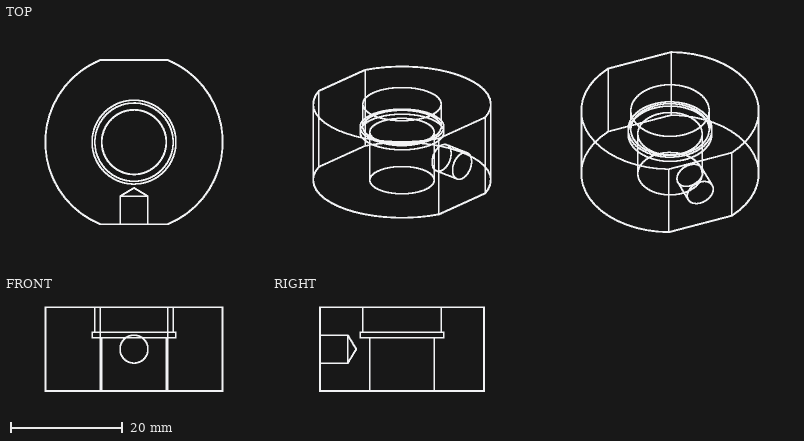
import cadquery as cq
import math

BODY_DIAMETER = 31.75
BODY_HEIGHT = 15.0
ACROSS_FLATS = 29.35

BORE_DIAMETER = 11.5
COUNTERBORE_DIAMETER = 14.0
COUNTERBORE_DEPTH = 5.5

RELIEF_DIAMETER = 15.0
RELIEF_WIDTH = 1.0

SIDE_HOLE_DIAMETER = 5.0
SIDE_HOLE_DEPTH = 5.0
DRILL_POINT_ANGLE = 118.0


def make_body():
    """Disc with two parallel flats facing -Y and +Y."""
    disc = cq.Workplane("XY").circle(BODY_DIAMETER / 2).extrude(BODY_HEIGHT)
    between_flats = cq.Workplane("XY").box(
        BODY_DIAMETER, ACROSS_FLATS, BODY_HEIGHT, centered=(True, True, False)
    )
    return disc.intersect(between_flats)


def cut_stepped_bore(body):
    """Through bore with a wider counterbore at the top."""
    return body.faces(">Z").workplane().cboreHole(
        BORE_DIAMETER, COUNTERBORE_DIAMETER, COUNTERBORE_DEPTH
    )


def cut_relief_groove(body):
    """Undercut widening the lowest part of the counterbore, flush with its floor."""
    groove = (
        cq.Workplane("XY")
        .workplane(offset=BODY_HEIGHT - COUNTERBORE_DEPTH)
        .circle(RELIEF_DIAMETER / 2)
        .extrude(RELIEF_WIDTH)
    )
    return body.cut(groove)


def make_drill_shape():
    """Drilled-hole volume running in +Y from the -Y flat, with a conical end."""
    radius = SIDE_HOLE_DIAMETER / 2
    point_length = radius / math.tan(math.radians(DRILL_POINT_ANGLE / 2))
    half_section = (
        cq.Workplane("XY")
        .lineTo(radius, 0)
        .lineTo(radius, SIDE_HOLE_DEPTH)
        .lineTo(0, SIDE_HOLE_DEPTH + point_length)
        .close()
    )
    drill = half_section.revolve(360, (0, 0, 0), (0, 1, 0))
    return drill.translate((0, -ACROSS_FLATS / 2, BODY_HEIGHT / 2))


collar = cut_stepped_bore(make_body())
collar = cut_relief_groove(collar)
result = collar.cut(make_drill_shape())